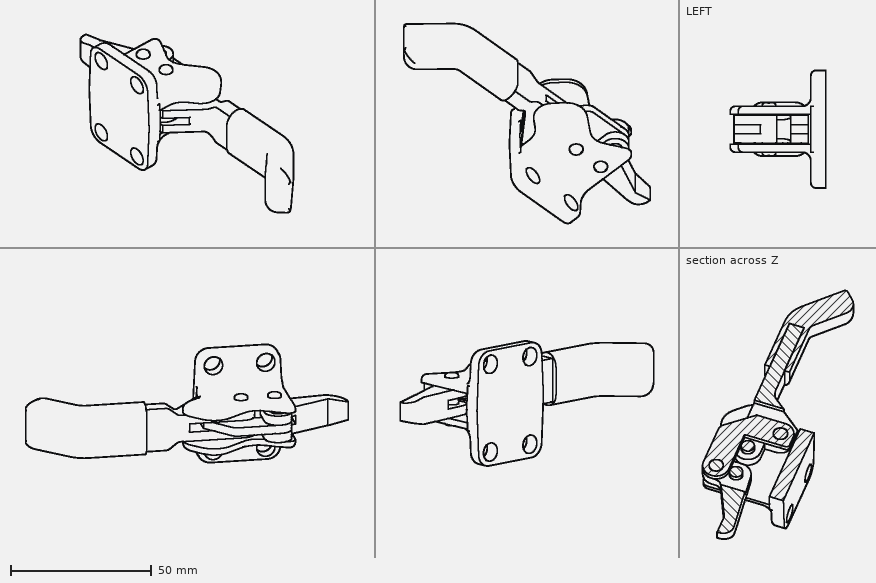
import cadquery as cq
import math


plate_half_width = 16.0
plate_half_height = 21.0
plate_thickness = 5.5
plate_end_half_width = 15.0
plate_corner_radius = 5.0
hole_diameter = 6.6
hole_spacing_x = 19.0
hole_spacing_z = 32.0
wall_outer_z = 8.2
wall_inner_z = 5.3
root_radius = 3.0
rim_radius = 2.0

valley_centre, valley_radius = (-1.4, 33.0), 6.6
crest_centre, crest_radius = (13.6, 26.8), 7.4
nose_centre, nose_radius = (17.2, 23.7), 7.0
heel_radius = 7.9
heel_height = 9.8
brow_slope = 27.3
wall_corner_radius = 2.3

pin_diameter = 4.9
pin_holes_length = 23.2
knuckle_radius = 4.9
arm_pivot = (-9.8, 20.3)
handle_pivot = (2.4, 20.3)
arm_joint = (-9.5, 28.0)
handle_joint = (11.5, 11.3)
pivot_pin_length = 18.8
pivot_pin_round = 0.9
joint_pin_length = 10.5
joint_pin_round = 0.3
link_thickness = 3.1
bar_width = 10.0

tip_x = -37.1
tip_top = 17.5
tip_flat_end = -29.7
tip_radius = 4.1
tip_centre_y = 16.6
tip_width = 6.7
tip_taper_end = -30.1
arm_top_slope = 24.8
arm_bottom_slope = 6.0
neck_radius = 3.0
arm_slot_start = -16.8

shoulder_start = 7.2
shoulder_end_y = 22.0
shoulder_radius = 3.3
toe_radius = 1.3

handle_thickness = 5.8
handle_wide = 15.9
handle_slot_end = 22.0
belly_x = 26.6
belly_radius = 5.0
belly_slope = 51.0
flare_start = 26.1
flare_end = 30.0
flare_radius = 2.4

grip_width = 19.3
grip_thickness = 9.5
grip_edge_radius = 4.6
grip_start = 38.0
grip_bend_x = 58.4
grip_bend_radius = 7.4
grip_bend_angle = 45.0
grip_upper_round = 1.0
overall_length = 116.1

side_lean = (plate_half_width - plate_end_half_width) / plate_half_height
wall_half_width = plate_half_width - side_lean * wall_outer_z
handle_top = handle_pivot[1] + knuckle_radius
handle_bottom = handle_joint[1] - knuckle_radius
handle_axis = handle_top - handle_thickness / 2
link_left = handle_joint[0] - knuckle_radius
link_right = handle_joint[0] + knuckle_radius


def polar(centre, radius, degrees):
    """Point at the given angle on a circle."""
    angle = math.radians(degrees)
    return (centre[0] + radius * math.cos(angle), centre[1] + radius * math.sin(angle))


def tangent_angle(first, first_radius, second, second_radius):
    """Direction, in degrees, of the normal on the left of the line that touches both circles.

    The line travels from the first circle to the second, with both centres on its right.
    A negative radius puts that circle on its left instead.
    """
    dx = second[0] - first[0]
    dy = second[1] - first[1]
    heading = math.degrees(math.atan2(dy, dx))
    return heading + math.degrees(math.acos((first_radius - second_radius) / math.hypot(dx, dy)))


def slab(outline, thickness):
    """Plate of the given thickness centred on Z = 0."""
    return outline.extrude(thickness / 2, both=True)


def near(x, y, z):
    """Selector for the edge whose middle is nearest to a point."""
    return cq.selectors.NearestToPointSelector((x, y, z))


def slot(x_start, x_end, width):
    """Cutter for a slot of the given width, open along Y."""
    middle = (x_start + x_end) / 2
    opening = cq.Workplane("XZ").center(middle, 0).rect(x_end - x_start, width)
    return opening.extrude(overall_length, both=True)


def pin_holes(*places):
    """Cutter for the pins at the given places."""
    return slab(cq.Workplane("XY").pushPoints(places).circle(pin_diameter / 2), pin_holes_length)


def wall_profile():
    """Side wall outline: sloping brow, valley, crest, nose and heel, all tangent."""
    heel_centre = (wall_half_width + heel_radius, heel_height)
    climb = tangent_angle(valley_centre, -valley_radius, crest_centre, crest_radius)
    drop = tangent_angle(crest_centre, crest_radius, nose_centre, nose_radius)
    tuck = tangent_angle(nose_centre, nose_radius, heel_centre, -heel_radius)
    brow_end = polar(valley_centre, -valley_radius, 90 - brow_slope)
    brow_rise = (brow_end[0] + wall_half_width) * math.tan(math.radians(brow_slope))
    return (
        cq.Workplane("XY")
        .moveTo(-wall_half_width, 0)
        .lineTo(-wall_half_width, brow_end[1] + brow_rise)
        .lineTo(*brow_end)
        .threePointArc(
            polar(valley_centre, valley_radius, -90), polar(valley_centre, -valley_radius, climb)
        )
        .lineTo(*polar(crest_centre, crest_radius, climb))
        .threePointArc(polar(crest_centre, crest_radius, 90), polar(crest_centre, crest_radius, drop))
        .lineTo(*polar(nose_centre, nose_radius, drop))
        .threePointArc(polar(nose_centre, nose_radius, 0), polar(nose_centre, nose_radius, tuck))
        .lineTo(*polar(heel_centre, -heel_radius, tuck))
        .threePointArc(
            polar(heel_centre, -heel_radius, tuck / 2), polar(heel_centre, -heel_radius, 0)
        )
        .lineTo(wall_half_width, 0)
        .close()
    )


def plate_prism():
    """Plate outline with rounded corners and flat sides at the walls, as tall as plate and roots."""
    quarter = [(plate_end_half_width, plate_half_height), (wall_half_width, wall_outer_z)]
    right = quarter + [(x, -z) for x, z in reversed(quarter)]
    left = [(-x, z) for x, z in reversed(right)]
    return (
        cq.Workplane("XZ")
        .polyline(right + left)
        .close()
        .extrude(-(plate_thickness + root_radius))
        .edges("|Y and (>Z or <Z)")
        .fillet(plate_corner_radius)
    )


def plate_bulge():
    """Middle strip of the plate, where the leaning sides run on to meet at Z = 0."""
    right = [(wall_half_width, wall_outer_z), (plate_half_width, 0), (wall_half_width, -wall_outer_z)]
    left = [(-x, z) for x, z in reversed(right)]
    return cq.Workplane("XZ").polyline(right + left).close().extrude(-plate_thickness)


def foot_section():
    """Plate in cross-section with the hollow round root of each wall, swept along X."""
    root_z = wall_outer_z + root_radius
    root_y = plate_thickness + root_radius
    bow = root_radius * (1 - math.sqrt(0.5))
    return (
        cq.Workplane("YZ")
        .moveTo(0, plate_half_height)
        .lineTo(plate_thickness, plate_half_height)
        .lineTo(plate_thickness, root_z)
        .threePointArc((plate_thickness + bow, wall_outer_z + bow), (root_y, wall_outer_z))
        .lineTo(root_y, -wall_outer_z)
        .threePointArc((plate_thickness + bow, -wall_outer_z - bow), (plate_thickness, -root_z))
        .lineTo(plate_thickness, -plate_half_height)
        .lineTo(0, -plate_half_height)
        .close()
        .extrude(plate_half_width, both=True)
    )


def make_base():
    """Mounting plate and two side walls with one rounded rim, holes for bolts and pivot pins."""
    walls = slab(wall_profile(), 2 * wall_outer_z)
    walls = walls.edges(near(-wall_half_width, crest_centre[1] + crest_radius, 0)).fillet(wall_corner_radius)
    body = foot_section().intersect(plate_prism()).union(walls)
    channel = slab(
        cq.Workplane("XY")
        .center(0, plate_thickness + crest_centre[1])
        .rect(4 * plate_half_width, 2 * crest_centre[1]),
        2 * wall_inner_z,
    )
    body = body.cut(channel)
    for side in (1, -1):
        body = body.edges(near(0, plate_thickness, side * plate_half_height)).fillet(rim_radius)
    body = body.union(plate_bulge())
    bolt_holes = (
        cq.Workplane("XZ")
        .rect(hole_spacing_x, hole_spacing_z, forConstruction=True)
        .vertices()
        .circle(hole_diameter / 2)
        .extrude(-plate_thickness)
    )
    return body.cut(bolt_holes).cut(pin_holes(arm_pivot, handle_pivot))


def make_arm():
    """Clamping arm: rounded tip, sloping shank and a forked knuckle around the link."""
    joint_x, joint_y = arm_joint
    neck_x = joint_x - knuckle_radius
    back_x = joint_x + knuckle_radius
    neck_y = tip_top + (neck_x - tip_flat_end) * math.tan(math.radians(arm_top_slope))
    tip_centre = (tip_x + tip_radius, tip_centre_y)
    tip_end_angle = arm_bottom_slope - 90
    tip_end = polar(tip_centre, tip_radius, tip_end_angle)
    back_y = tip_end[1] + (back_x - tip_end[0]) * math.tan(math.radians(arm_bottom_slope))
    profile = slab(
        cq.Workplane("XY")
        .moveTo(tip_x, tip_top)
        .lineTo(tip_flat_end, tip_top)
        .lineTo(neck_x, neck_y)
        .lineTo(neck_x, joint_y)
        .threePointArc((joint_x, joint_y + knuckle_radius), (back_x, joint_y))
        .lineTo(back_x, back_y)
        .lineTo(*tip_end)
        .threePointArc(polar(tip_centre, tip_radius, (tip_end_angle - 180) / 2), (tip_x, tip_centre_y))
        .close(),
        bar_width,
    )
    profile = profile.edges(near(neck_x, neck_y, 0)).fillet(neck_radius)
    profile = profile.edges(near(back_x, back_y, 0)).fillet(knuckle_radius)
    plan = (
        cq.Workplane("XZ")
        .polyline(
            [
                (tip_x, -tip_width / 2),
                (tip_taper_end, -bar_width / 2),
                (back_x, -bar_width / 2),
                (back_x, bar_width / 2),
                (tip_taper_end, bar_width / 2),
                (tip_x, tip_width / 2),
            ]
        )
        .close()
        .extrude(overall_length, both=True)
    )
    arm = profile.intersect(plan).cut(slot(arm_slot_start, back_x, link_thickness))
    return arm.cut(pin_holes(arm_pivot, arm_joint))


def make_link():
    """Elbow link that reaches over the handle pivot from the arm joint to the handle joint."""
    joint_x, joint_y = arm_joint
    end_x, end_y = handle_joint
    top = joint_y + knuckle_radius
    inside = joint_y - knuckle_radius
    link = slab(
        cq.Workplane("XY")
        .moveTo(joint_x, inside)
        .threePointArc((joint_x - knuckle_radius, joint_y), (joint_x, top))
        .lineTo(shoulder_start, top)
        .lineTo(link_right, shoulder_end_y)
        .lineTo(link_right, end_y)
        .threePointArc(polar(handle_joint, knuckle_radius, -45), (end_x, handle_bottom))
        .lineTo(link_left, handle_bottom)
        .lineTo(link_left, inside)
        .close(),
        link_thickness,
    )
    link = link.edges(near(shoulder_start, top, 0)).fillet(shoulder_radius)
    link = link.edges(near(link_left, handle_bottom, 0)).fillet(toe_radius)
    return link.cut(pin_holes(arm_joint, handle_joint))


def handle_plan():
    """Handle outline seen along Y: narrow between the walls, flaring to full width."""
    narrow = bar_width / 2
    wide = handle_wide / 2
    start = handle_pivot[0] - knuckle_radius
    plan = (
        cq.Workplane("XZ")
        .polyline(
            [
                (start, -narrow),
                (flare_start, -narrow),
                (flare_end, -wide),
                (grip_bend_x, -wide),
                (grip_bend_x, wide),
                (flare_end, wide),
                (flare_start, narrow),
                (start, narrow),
            ]
        )
        .close()
        .extrude(overall_length, both=True)
    )
    for side in (1, -1):
        plan = plan.edges(near(flare_start, 0, side * narrow)).fillet(flare_radius)
        plan = plan.edges(near(flare_end, 0, side * wide)).fillet(flare_radius)
    return plan


def make_handle():
    """Handle: forked end on its pivot and link joint, and a flat bar that carries the grip."""
    pivot_x, pivot_y = handle_pivot
    joint_x, joint_y = handle_joint
    bar_bottom = handle_top - handle_thickness
    fork_bottom = pivot_y - knuckle_radius
    belly_run = (bar_bottom - handle_bottom) / math.tan(math.radians(belly_slope))
    profile = slab(
        cq.Workplane("XY")
        .moveTo(pivot_x, handle_top)
        .lineTo(grip_bend_x, handle_top)
        .lineTo(grip_bend_x, bar_bottom)
        .lineTo(belly_x, bar_bottom)
        .lineTo(belly_x - belly_run, handle_bottom)
        .lineTo(joint_x, handle_bottom)
        .threePointArc(polar(handle_joint, knuckle_radius, -135), (link_left, joint_y))
        .lineTo(link_left, fork_bottom)
        .lineTo(pivot_x, fork_bottom)
        .threePointArc((pivot_x - knuckle_radius, pivot_y), (pivot_x, handle_top))
        .close(),
        handle_wide,
    )
    profile = profile.edges(near(belly_x, bar_bottom, 0)).fillet(belly_radius)
    fork_slot = slot(pivot_x - knuckle_radius, handle_slot_end, link_thickness)
    return profile.intersect(handle_plan()).cut(fork_slot).cut(pin_holes(handle_pivot, handle_joint))


def grip_bar(length):
    """Straight stretch of grip along +X from the origin, with well rounded long edges."""
    bar = cq.Workplane("YZ").rect(grip_thickness, grip_width).extrude(length)
    return bar.edges("|X").fillet(grip_edge_radius)


def make_grip(handle):
    """Bent grip with rounded end, hollowed to fit the handle bar."""
    half = grip_thickness / 2
    bend_centre = (grip_bend_x, handle_axis - grip_bend_radius)
    bend_end = polar(bend_centre, grip_bend_radius, 90 - grip_bend_angle)
    straight = grip_bar(grip_bend_x - grip_start).translate((grip_start, handle_axis, 0))
    bend = cq.Workplane(
        cq.Solid.revolve(
            straight.faces(">X").val(),
            grip_bend_angle,
            cq.Vector(*bend_centre, 0),
            cq.Vector(*bend_centre, -1.2),
        )
    )

    cosine = math.cos(math.radians(grip_bend_angle))
    sine = math.sin(math.radians(grip_bend_angle))
    corner_centre_x = tip_x + overall_length - grip_upper_round
    reach = (corner_centre_x - bend_end[0] - (half - grip_upper_round) * sine) / cosine
    end_length = reach + grip_upper_round

    end = grip_bar(end_length)
    blank = cq.Workplane("XY").box(end_length, grip_thickness, grip_width).translate((end_length / 2, 0, 0))
    upper = blank.edges(near(end_length, half, 0)).fillet(grip_upper_round)
    lower = blank.edges("(<Y and |X) or (<Y and >X) or (>X and |Y)").fillet(grip_edge_radius)
    end = end.intersect(upper).intersect(lower)
    end = end.rotate((0, 0, 0), (0, 0, 1), -grip_bend_angle).translate((*bend_end, 0))
    return straight.union(bend).union(end).cut(handle)


def make_pin(place, length, end_round):
    """Pin along Z with rounded ends."""
    pin = slab(cq.Workplane("XY").center(*place).circle(pin_diameter / 2), length)
    return pin.faces("<Z or >Z").edges().fillet(end_round)


base = make_base()
arm = make_arm()
link = make_link()
handle = make_handle()
grip = make_grip(handle)
pins = [make_pin(place, pivot_pin_length, pivot_pin_round) for place in (arm_pivot, handle_pivot)]
pins += [make_pin(place, joint_pin_length, joint_pin_round) for place in (arm_joint, handle_joint)]

result = cq.Compound.makeCompound(
    [body.solids().val() for body in (base, arm, link, handle, grip, *pins)]
)